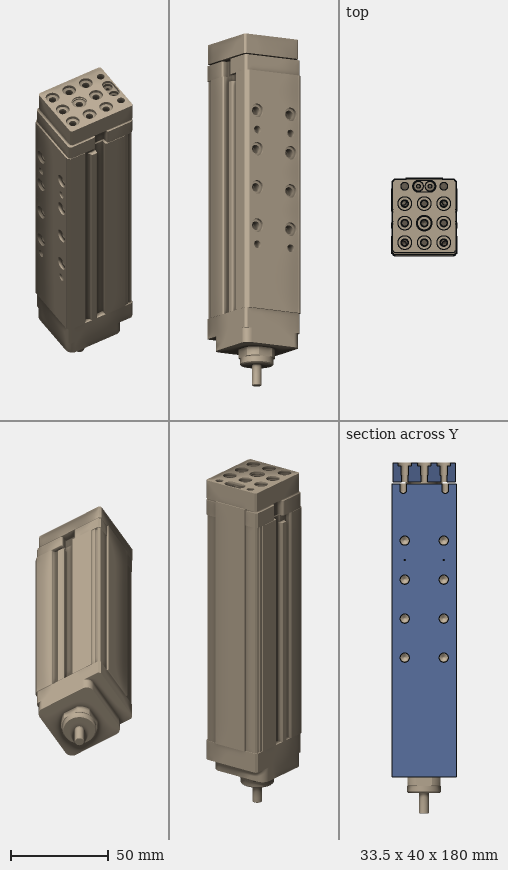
import cadquery as cq
import math


NECK_Z = 10.6
FLATS_Z = 14.0
HOUSING_Z = 18.7
CAP_LEDGE_Z = 26.3
BARREL_Z = 36.7
BARREL_TOP_Z = 161.0
HEAD_TOP_Z = 169.0
PLATE_Z = 170.0
TOP_Z = 180.0

CAP_WIDTH = 33.1
CAP_HALF_WIDTH = CAP_WIDTH / 2
CAP_FRONT_Y = -16.0
CAP_BACK_Y = 22.3
CAP_CHAMFER = 1.0

FOOT_BACK_Y = 16.0
FOOT_RADIUS = 4.0
FOOT_FRONT_CORNER_DEPTH = 3.2

BARREL_WIDTH = 33.5
BARREL_HALF_WIDTH = BARREL_WIDTH / 2
BARREL_BACK_Y = 22.0
PANEL_FRONT_Y = -17.0
PANEL_HALF_WIDTH = 14.8
CORNER_CHAMFER = 1.5
PANEL_GROOVE_DEPTH = 0.4
RECESS_DEPTH = 0.5
RECESS_Y = 17.5
BACK_CHAMFER = 0.9
WIRE_GROOVE_DIAMETER = 1.57
WIRE_GROOVE_Y = 20.0

GROOVE_BACK_Y = 5.5
GROOVE_FRONT_Y = -6.3
GROOVE_LIP = 0.5
GROOVE_DEPTH = 2.9
GROOVE_STEP_Y = 0.2
GROOVE_STEP_DEPTH = 2.3
GROOVE_RAMP = 1.0

BAR_TOP_Z = 157.1
BAR_BACK_Y = 0.7
BAR_CHAMFER = 0.5
BAR_EDGE_Y = -3.0
BAR_TOE_Y = -4.1
BAR_EDGE_DEPTH = 1.5

NOTCH_WIDTH = 7.0
NOTCH_Y = 3.2
NOTCH_DEPTH = 3.6
NOTCH_FILLET = 1.0
NOTCH_FLOOR_FILLET = 0.5

NECK_DIAMETER = 17.3
NECK_CHAMFER = 0.5
FLATS_DIAMETER = 18.7
FLATS_WIDTH = 17.0
FLATS_CHAMFER = 0.4
SHAFT_DIAMETER = 5.0
SHAFT_CHAMFER = 0.4

PITCH = 90 / 9
COUNTERBORE_DIAMETER = 7.0
COUNTERBORE_DEPTH = 1.6
PANEL_THREAD_DIAMETER = 4.5
PANEL_CORE_DIAMETER = 3.8
THREAD_DEPTH = 6.5
DOWEL_DIAMETER = 4.0
DRILL_TIP_ANGLE = math.radians(59)
PANEL_HOLE_DEPTH = 8.0
PANEL_DOWEL_DEPTH = 5.0
SCREW_ROWS = (8, 10, 12, 14)
DOWEL_ROWS = (7, 13)

CAP_SCREW_SPACING = 21.6
CAP_SCREW_DIAMETER = 3.2
CAP_SCREW_DEPTH = 4.0

PLATE_WIDTH = 32.4
PLATE_FRONT_Y = -15.0
PLATE_BACK_Y = 22.5
PLATE_CHAMFER = 0.9
ROD_DIAMETER = 14.0
RAIL_WIDTH = 18.7
RAIL_FRONT_Y = 14.2
RAIL_BACK_Y = 23.0
BALL_GROOVE_DIAMETER = 2.0
BALL_GROOVE_Y = 18.5
PLATE_THREAD_DIAMETER = 3.8
PLATE_CORE_DIAMETER = 3.2
CENTRE_RECESS_DIAMETER = 8.0
CENTRE_RECESS_DEPTH = 0.9
CENTRE_THREAD_DEPTH = 5.0
CENTRE_HOLE_DEPTH = 7.0
BACK_ROW_Y = 18.9
PLATE_DOWEL_DEPTH = 5.0
SLOT_WIDTH = 6.0
SLOT_SPACING = 6.0
SLOT_DEPTH = 1.6
SLOT_POCKET_DIAMETER = 5.0
SLOT_POCKET_DEPTH = 3.2
SLOT_HOLE_DIAMETER = 2.0
SLOT_HOLE_DEPTH = 5.0


def block(x_size, y_front, y_back, z_low, z_high):
    """Box centred on X between the given Y and Z limits."""
    return (
        cq.Workplane("XY", origin=(0, (y_front + y_back) / 2, z_low))
        .rect(x_size, y_back - y_front)
        .extrude(z_high - z_low)
    )


def cylinder(diameter, z_low, z_high):
    return cq.Workplane("XY", origin=(0, 0, z_low)).circle(diameter / 2).extrude(z_high - z_low)


def drill(diameter, depth):
    """Blind hole tool pointing down from the origin, with a conical drill tip."""
    radius = diameter / 2
    tip = radius / math.tan(DRILL_TIP_ANGLE)
    return (
        cq.Workplane("XZ")
        .polyline([(0, 0), (radius, 0), (radius, -depth), (0, -depth - tip)])
        .close()
        .revolve(360, (0, 0), (0, 1))
    )


def disc(diameter, depth):
    return cylinder(diameter, -depth, 0)


def both_sides(tool):
    return tool.union(tool.mirror("YZ"))


def cap(z_low, z_high):
    return block(CAP_WIDTH, CAP_FRONT_Y, CAP_BACK_Y, z_low, z_high).edges("|Z").chamfer(CAP_CHAMFER)



def foot_block():
    side_x = CAP_HALF_WIDTH - FOOT_RADIUS
    front_side_y = CAP_FRONT_Y + FOOT_FRONT_CORNER_DEPTH
    back_side_y = FOOT_BACK_Y - FOOT_RADIUS
    return (
        cq.Workplane("XY", origin=(0, 0, HOUSING_Z))
        .moveTo(-side_x, CAP_FRONT_Y)
        .lineTo(side_x, CAP_FRONT_Y)
        .radiusArc((CAP_HALF_WIDTH, front_side_y), -FOOT_RADIUS)
        .lineTo(CAP_HALF_WIDTH, back_side_y)
        .radiusArc((side_x, FOOT_BACK_Y), -FOOT_RADIUS)
        .lineTo(-side_x, FOOT_BACK_Y)
        .radiusArc((-CAP_HALF_WIDTH, back_side_y), -FOOT_RADIUS)
        .lineTo(-CAP_HALF_WIDTH, front_side_y)
        .radiusArc((-side_x, CAP_FRONT_Y), -FOOT_RADIUS)
        .close()
        .extrude(CAP_LEDGE_Z - HOUSING_Z)
    )


def sensor_groove():
    wall_x = -BARREL_HALF_WIDTH
    lip_x = wall_x + GROOVE_LIP
    step_x = wall_x + GROOVE_STEP_DEPTH
    floor_x = wall_x + GROOVE_DEPTH
    groove = (
        cq.Workplane("XY", origin=(0, 0, BARREL_Z))
        .polyline([
            (wall_x, GROOVE_BACK_Y + GROOVE_LIP),
            (lip_x, GROOVE_BACK_Y),
            (floor_x, GROOVE_BACK_Y),
            (floor_x, GROOVE_STEP_Y),
            (step_x, GROOVE_STEP_Y),
            (step_x, GROOVE_FRONT_Y + GROOVE_RAMP),
            (step_x - GROOVE_RAMP, GROOVE_FRONT_Y),
            (lip_x, GROOVE_FRONT_Y),
            (wall_x, GROOVE_FRONT_Y - GROOVE_LIP),
        ])
        .close()
        .extrude(BARREL_TOP_Z - BARREL_Z)
    )
    return groove.cut(groove_bar())


def groove_bar():
    front_x = -BARREL_HALF_WIDTH
    edge_x = -BARREL_HALF_WIDTH + BAR_EDGE_DEPTH
    floor_x = -BARREL_HALF_WIDTH + GROOVE_STEP_DEPTH
    back_x = -BARREL_HALF_WIDTH + GROOVE_DEPTH
    return (
        cq.Workplane("XY", origin=(0, 0, BARREL_Z))
        .polyline([
            (back_x, BAR_BACK_Y),
            (front_x + BAR_CHAMFER, BAR_BACK_Y),
            (front_x, BAR_BACK_Y - BAR_CHAMFER),
            (front_x, BAR_EDGE_Y + BAR_CHAMFER),
            (edge_x, BAR_EDGE_Y),
            (floor_x, BAR_TOE_Y),
            (back_x, BAR_TOE_Y),
        ])
        .close()
        .extrude(BAR_TOP_Z - BARREL_Z)
    )


def barrel():
    back_x = BARREL_HALF_WIDTH - RECESS_DEPTH
    corner_x = BARREL_HALF_WIDTH - CORNER_CHAMFER
    right_half = [
        (PANEL_HALF_WIDTH, PANEL_FRONT_Y),
        ((PANEL_HALF_WIDTH + corner_x) / 2, PANEL_FRONT_Y + PANEL_GROOVE_DEPTH),
        (corner_x, PANEL_FRONT_Y),
        (BARREL_HALF_WIDTH, PANEL_FRONT_Y + CORNER_CHAMFER),
        (BARREL_HALF_WIDTH, RECESS_Y),
        (back_x, RECESS_Y),
        (back_x, BARREL_BACK_Y - BACK_CHAMFER),
        (back_x - BACK_CHAMFER, BARREL_BACK_Y),
    ]
    left_half = [(-x, y) for x, y in reversed(right_half)]
    length = BARREL_TOP_Z - BARREL_Z
    body = (
        cq.Workplane("XY", origin=(0, 0, BARREL_Z))
        .polyline(right_half + left_half)
        .close()
        .extrude(length)
    )
    wire_grooves = (
        cq.Workplane("XY", origin=(0, 0, BARREL_Z))
        .pushPoints([(-back_x, WIRE_GROOVE_Y), (back_x, WIRE_GROOVE_Y)])
        .circle(WIRE_GROOVE_DIAMETER / 2)
        .extrude(length)
    )
    return body.cut(both_sides(sensor_groove())).cut(wire_grooves).cut(panel_holes())


def panel_holes():
    """Two columns of counterbored screw holes and plain dowel holes in the front panel."""
    screw = (
        drill(PANEL_CORE_DIAMETER, PANEL_HOLE_DEPTH)
        .union(disc(PANEL_THREAD_DIAMETER, THREAD_DEPTH))
        .union(disc(COUNTERBORE_DIAMETER, COUNTERBORE_DEPTH))
    )
    dowel = drill(DOWEL_DIAMETER, PANEL_DOWEL_DEPTH)
    holes = cq.Workplane("XY")
    for tool, rows in ((screw, SCREW_ROWS), (dowel, DOWEL_ROWS)):
        front_tool = tool.rotate((0, 0, 0), (1, 0, 0), 90)
        for row in rows:
            for x in (-PITCH, PITCH):
                holes = holes.union(front_tool.translate((x, PANEL_FRONT_Y, row * PITCH)))
    return holes


def head_cap():
    """Top cap with a rounded cable notch in each side and four cap screw holes."""
    body = cap(BARREL_TOP_Z, HEAD_TOP_Z)
    half = NOTCH_WIDTH / 2
    notches = (
        block(CAP_WIDTH, NOTCH_Y - half, NOTCH_Y + half, BARREL_TOP_Z, HEAD_TOP_Z)
        .cut(block(CAP_WIDTH - 2 * NOTCH_DEPTH, NOTCH_Y - half, NOTCH_Y + half, BARREL_TOP_Z, HEAD_TOP_Z))
    )
    body = body.cut(notches)
    middle_z = (BARREL_TOP_Z + HEAD_TOP_Z) / 2
    for side in (-1, 1):
        for y in (NOTCH_Y - half, NOTCH_Y + half):
            mouth = (side * CAP_HALF_WIDTH, y, middle_z)
            root = (side * (CAP_HALF_WIDTH - NOTCH_DEPTH), y, middle_z)
            body = body.edges(cq.selectors.NearestToPointSelector(mouth)).fillet(NOTCH_FILLET)
            body = body.edges(cq.selectors.NearestToPointSelector(root)).fillet(NOTCH_FLOOR_FILLET)
    screw = drill(CAP_SCREW_DIAMETER, CAP_SCREW_DEPTH)
    offset = CAP_SCREW_SPACING / 2
    for x in (-offset, offset):
        for y in (-offset, offset):
            body = body.cut(screw.translate((x, y, HEAD_TOP_Z)))
    return body


def neck_and_shaft():
    """Round coupling neck with four flats above it, and the drive shaft below it."""
    ring = cylinder(NECK_DIAMETER, NECK_Z, FLATS_Z).faces("<Z").chamfer(NECK_CHAMFER)
    flats = (
        cylinder(FLATS_DIAMETER, FLATS_Z, HOUSING_Z)
        .faces("<Z")
        .chamfer(FLATS_CHAMFER)
        .intersect(block(FLATS_WIDTH, -FLATS_WIDTH / 2, FLATS_WIDTH / 2, FLATS_Z, HOUSING_Z))
    )
    shaft = cylinder(SHAFT_DIAMETER, 0, NECK_Z).faces("<Z").chamfer(SHAFT_CHAMFER)
    return ring.union(flats).union(shaft)


def make_housing():
    body = (
        neck_and_shaft()
        .union(foot_block())
        .union(cap(CAP_LEDGE_Z, BARREL_Z))
        .union(barrel())
        .union(head_cap())
    )
    rod_bore = cylinder(ROD_DIAMETER, BARREL_TOP_Z, HEAD_TOP_Z)
    rail_channel = block(RAIL_WIDTH, RAIL_FRONT_Y, RAIL_BACK_Y, BARREL_Z, HEAD_TOP_Z)
    return body.cut(rod_bore).cut(rail_channel)



def plate_holes():
    """Three by three screw pattern, with dowel holes and a slot over two stepped holes behind it."""
    thickness = TOP_Z - PLATE_Z
    screw = (
        disc(PLATE_CORE_DIAMETER, thickness)
        .union(disc(PLATE_THREAD_DIAMETER, THREAD_DEPTH))
        .union(disc(COUNTERBORE_DIAMETER, COUNTERBORE_DEPTH))
    )
    holes = (
        disc(CENTRE_RECESS_DIAMETER, CENTRE_RECESS_DEPTH)
        .union(disc(COUNTERBORE_DIAMETER, COUNTERBORE_DEPTH))
        .union(disc(PLATE_THREAD_DIAMETER, CENTRE_THREAD_DEPTH))
        .union(drill(PLATE_CORE_DIAMETER, CENTRE_HOLE_DEPTH))
    )
    for column in (-1, 0, 1):
        for row in (-1, 0, 1):
            if (column, row) != (0, 0):
                holes = holes.union(screw.translate((column * PITCH, row * PITCH, 0)))
    dowel = disc(DOWEL_DIAMETER, PLATE_DOWEL_DEPTH)
    slot_hole = disc(SLOT_POCKET_DIAMETER, SLOT_POCKET_DEPTH).union(disc(SLOT_HOLE_DIAMETER, SLOT_HOLE_DEPTH))
    slot = cq.Workplane("XY").slot2D(SLOT_SPACING + SLOT_WIDTH, SLOT_WIDTH).extrude(-SLOT_DEPTH)
    holes = holes.union(slot.translate((0, BACK_ROW_Y, 0)))
    for side in (-1, 1):
        holes = holes.union(dowel.translate((side * PITCH, BACK_ROW_Y, 0)))
        holes = holes.union(slot_hole.translate((side * SLOT_SPACING / 2, BACK_ROW_Y, 0)))
    return holes.translate((0, 0, TOP_Z))


def guide_rail():
    rail = block(RAIL_WIDTH, RAIL_FRONT_Y, RAIL_BACK_Y, BARREL_Z, PLATE_Z)
    ball_grooves = (
        cq.Workplane("XY", origin=(0, 0, BARREL_Z))
        .pushPoints([(-RAIL_WIDTH / 2, BALL_GROOVE_Y), (RAIL_WIDTH / 2, BALL_GROOVE_Y)])
        .circle(BALL_GROOVE_DIAMETER / 2)
        .extrude(PLATE_Z - BARREL_Z)
    )
    return rail.cut(ball_grooves)


def make_slide():
    plate = block(PLATE_WIDTH, PLATE_FRONT_Y, PLATE_BACK_Y, PLATE_Z, TOP_Z).edges("|Z").chamfer(PLATE_CHAMFER)
    rod = cylinder(ROD_DIAMETER, BARREL_TOP_Z, PLATE_Z)
    return plate.cut(plate_holes()).union(rod).union(guide_rail())


housing = make_housing()
slide = make_slide()
result = cq.Compound.makeCompound([housing.solids().val(), slide.solids().val()])